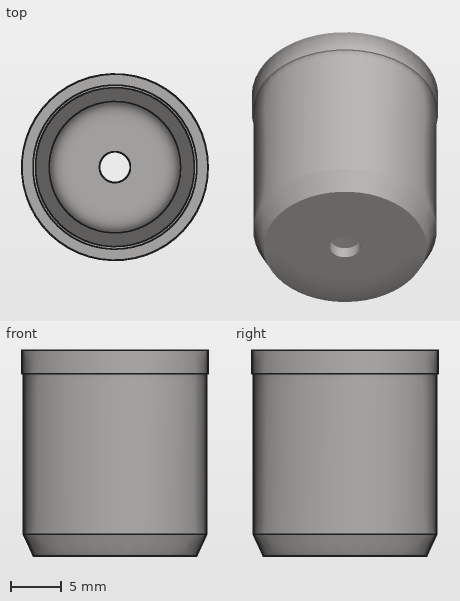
import cadquery as cq
import math

total_height = 20.2
body_diameter = 18.0
rim_diameter = 18.3
rim_height = 2.3

base_diameter = 16.0
taper_angle = 25.0
taper_height = (body_diameter - base_diameter) / 2 / math.tan(math.radians(taper_angle))

mouth_diameter = 16.1
mouth_depth = 6.0
bore_diameter = 15.6
bore_bottom = taper_height
recess_diameter = 12.9
floor_thickness = (body_diameter - bore_diameter) / 2
hole_diameter = 3.0


def outer_body():
    """Revolved outside shape: tapered base, straight body and raised rim."""
    rim_bottom = total_height - rim_height
    profile = [
        (0, 0),
        (base_diameter / 2, 0),
        (body_diameter / 2, taper_height),
        (body_diameter / 2, rim_bottom),
        (rim_diameter / 2, rim_bottom),
        (rim_diameter / 2, total_height),
        (0, total_height),
    ]
    return cq.Workplane("XZ").polyline(profile).close().revolve(360, (0, 0), (0, 1))


def cylinder_to_top(diameter, bottom):
    """Cylinder on the axis reaching from the given level to the top."""
    height = total_height - bottom
    return cq.Workplane("XY").workplane(offset=bottom).circle(diameter / 2).extrude(height)


result = outer_body()
result = result.cut(cylinder_to_top(mouth_diameter, total_height - mouth_depth))
result = result.cut(cylinder_to_top(bore_diameter, bore_bottom))
result = result.cut(cylinder_to_top(recess_diameter, floor_thickness))
result = result.cut(cylinder_to_top(hole_diameter, 0))